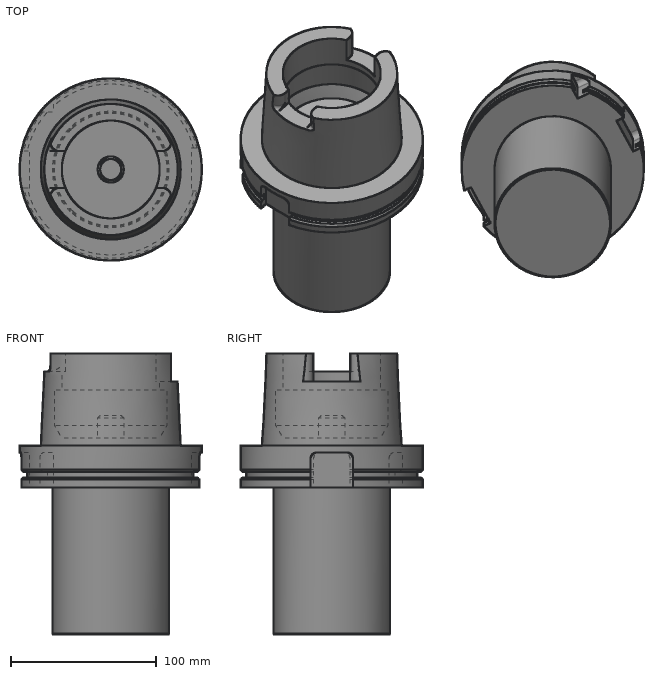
import cadquery as cq

total_height = 192.9
flange_top = 129.6
flange_height = 28.7
flange_bottom = flange_top - flange_height
flange_radius = 125.0 / 2
body_radius = 80.0 / 2
body_chamfer = 0.8
taper_base_radius = 48.0
taper_top_radius = 45.0

groove_radius = 58.6
groove_top = flange_top - 18.0
groove_bottom = flange_top - 21.8
groove_chamfer = 1.5

bore_radius = 67.1 / 2
bore_length = 25.0
undercut_radius = 38.5
undercut_depth = 49.4
cone_height = 8.7
pin_radius = 18.0 / 2
pin_chamfer = 1.7
pin_height = 15.5

drive_half_width = 12.5
shallow_drive_depth = 12.3
deep_drive_depth = 19.3
drive_corner_radius = 6.4
drive_corner_reach = 41.5
drive_root_fillet = 2.5

recess_top = flange_top - 4.6
flange_slot_floor = 55.5
narrow_slot_width = 2 * drive_half_width
wide_slot_width = 29.3
flange_slot_radius = 4.8
notch_offset = 39.4
notch_radius = 3.9


def block(x0, x1, y0, y1, z0, z1):
    """Box spanning the given limits."""
    return cq.Workplane("XY").box(x1 - x0, y1 - y0, z1 - z0, centered=False).translate((x0, y0, z0))


def make_blank():
    """Body, grooved flange and taper turned about Z."""
    land_radius = flange_radius - groove_chamfer
    return (
        cq.Workplane("XZ")
        .moveTo(0, 0)
        .lineTo(body_radius - body_chamfer, 0)
        .lineTo(body_radius, body_chamfer)
        .lineTo(body_radius, flange_bottom)
        .lineTo(flange_radius, flange_bottom)
        .lineTo(flange_radius, groove_bottom - groove_chamfer)
        .lineTo(land_radius, groove_bottom)
        .lineTo(groove_radius, groove_bottom)
        .lineTo(groove_radius, groove_top)
        .lineTo(land_radius, groove_top)
        .lineTo(flange_radius, groove_top + groove_chamfer)
        .lineTo(flange_radius, flange_top)
        .lineTo(taper_base_radius, flange_top)
        .lineTo(taper_top_radius, total_height)
        .lineTo(0, total_height)
        .close()
        .revolve(360, (0, 0, 0), (0, 1, 0))
    )


def make_cavity():
    """Bore with a wider clamping undercut, a cone below it and a central pin on the floor."""
    undercut_top = total_height - bore_length
    cone_top = total_height - undercut_depth
    floor = cone_top - cone_height
    pin_top = floor + pin_height
    return (
        cq.Workplane("XZ")
        .moveTo(0, pin_top)
        .lineTo(pin_radius - pin_chamfer, pin_top)
        .lineTo(pin_radius, pin_top - pin_chamfer)
        .lineTo(pin_radius, floor)
        .lineTo(bore_radius, floor)
        .lineTo(undercut_radius, cone_top)
        .lineTo(undercut_radius, undercut_top)
        .lineTo(bore_radius, undercut_top)
        .lineTo(bore_radius, total_height)
        .lineTo(0, total_height)
        .close()
        .revolve(360, (0, 0, 0), (0, 1, 0))
    )


def make_corner_post(depth, root_fillet):
    """Round post left standing at a drive slot corner, flared at its root if root_fillet is not zero."""
    radius = drive_corner_radius
    post = cq.Workplane("XZ").lineTo(radius + root_fillet, 0)
    if root_fillet > 0:
        post = post.radiusArc((radius, root_fillet), root_fillet)
    return (
        post.lineTo(radius, depth)
        .lineTo(0, depth)
        .close()
        .revolve(360, (0, 0, 0), (0, 1, 0))
    )


def make_drive_slot(depth, root_fillet):
    """Drive slot on the +X side with rounded outer corners."""
    floor = total_height - depth
    outside = taper_base_radius
    centre_x = drive_corner_reach - drive_corner_radius
    centre_y = drive_half_width + drive_corner_radius
    slot = block(0, outside, -drive_half_width, drive_half_width, floor, total_height)
    relief = block(centre_x, outside, drive_half_width, centre_y + drive_corner_radius, floor, total_height)
    post = make_corner_post(depth, root_fillet).translate((centre_x, centre_y, floor))
    flank = block(centre_x, drive_corner_reach, centre_y, centre_y + drive_corner_radius, floor, total_height)
    relief = relief.cut(post).cut(flank)
    return slot.union(relief).union(relief.mirror("XZ"))


def make_flange_slot(width):
    """Slot on the +X side of the flange, open below, with rounded upper corners."""
    slot = block(flange_slot_floor, flange_radius, -width / 2, width / 2, flange_bottom, recess_top)
    return slot.edges("|X and >Z").fillet(flange_slot_radius)


def make_notch():
    """Square orientation notch in the -X, +Y quadrant of the flange."""
    notch = block(-flange_radius, -notch_offset, notch_offset, flange_radius, flange_bottom, recess_top)
    return notch.edges("|X and >Z and <Y").fillet(notch_radius)


def to_minus_x(shape):
    return shape.mirror("YZ")


result = (
    make_blank()
    .cut(make_cavity())
    .cut(make_drive_slot(deep_drive_depth, 0))
    .cut(to_minus_x(make_drive_slot(shallow_drive_depth, drive_root_fillet)))
    .cut(make_flange_slot(wide_slot_width))
    .cut(to_minus_x(make_flange_slot(narrow_slot_width)))
    .cut(make_notch())
)